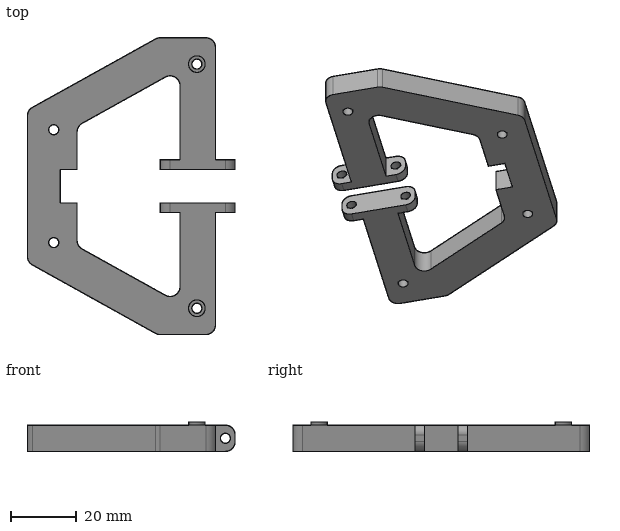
import cadquery as cq

total_length = 63.0
total_width = 90.0
thickness = 8.0
corner_radius = 3.0
hole_diameter = 3.0

body_length = 57.1
left_edge_half_width = 23.0
outer_bend_x = 39.5

window_left_x = 15.1
arm_width = 10.8
window_left_half_width = 18.2
notch_depth = 5.1
gap_half_width = 5.0

plate_length = 22.8
plate_thickness = 3.0
plate_hole_inset = 3.0

front_hole_x = 8.0
front_hole_y = 17.1
collar_x = 51.4
collar_y = 37.0
collar_diameter = 5.0
collar_height = 1.0

half_width = total_width / 2
window_right_x = body_length - arm_width
slant = (half_width - left_edge_half_width) / outer_bend_x
window_right_half_width = window_left_half_width + slant * (window_right_x - window_left_x)


def symmetric_prism(upper_points):
    """Extrude an outline given by its +Y half, mirrored to the -Y half, with rounded corners."""
    lower_points = [(x, -y) for x, y in reversed(upper_points)]
    prism = cq.Workplane("XY").polyline(upper_points + lower_points).close().extrude(thickness)
    return prism.edges("|Z").fillet(corner_radius)


def box_between(x_min, x_max, y_min, y_max):
    """Full-thickness block between the given X and Y limits."""
    block = cq.Workplane("XY").box(x_max - x_min, y_max - y_min, thickness, centered=False)
    return block.translate((x_min, y_min, 0))


def make_frame():
    """Closed frame, then the notch and the gap cut along the centre line."""
    outline = symmetric_prism([
        (0, left_edge_half_width),
        (outer_bend_x, half_width),
        (body_length, half_width),
    ])
    window = symmetric_prism([
        (window_left_x, window_left_half_width),
        (window_right_x, window_right_half_width),
    ])
    centre_cut = box_between(
        window_left_x - notch_depth, body_length, -gap_half_width, gap_half_width
    )
    return outline.cut(window).cut(centre_cut)


def make_hinge_plate(side):
    """Rounded plate across one arm end, with a hole along Y near each end."""
    inner_y = side * gap_half_width
    outer_y = side * (gap_half_width + plate_thickness)
    plate = box_between(
        total_length - plate_length, total_length, min(inner_y, outer_y), max(inner_y, outer_y)
    )
    plate = plate.edges("|Y").fillet(corner_radius)
    hole_spacing = plate_length - 2 * plate_hole_inset
    return (
        plate.faces(">Y").workplane(origin=plate.val().Center().toTuple())
        .rarray(hole_spacing, 0.9, 2, 1)
        .hole(hole_diameter)
    )


def make_cylinders(points, diameter, height):
    """Vertical cylinders standing on the underside plane."""
    return cq.Workplane("XY").pushPoints(points).circle(diameter / 2).extrude(height)


collar_points = [(collar_x, side * collar_y) for side in (-1, 1)]
front_hole_points = [(front_hole_x, side * front_hole_y) for side in (-1, 1)]
collar_top = thickness + collar_height

result = make_frame()
for plate_side in (-1, 1):
    result = result.union(make_hinge_plate(plate_side))
result = result.union(make_cylinders(collar_points, collar_diameter, collar_top))
result = result.cut(make_cylinders(collar_points + front_hole_points, hole_diameter, collar_top))